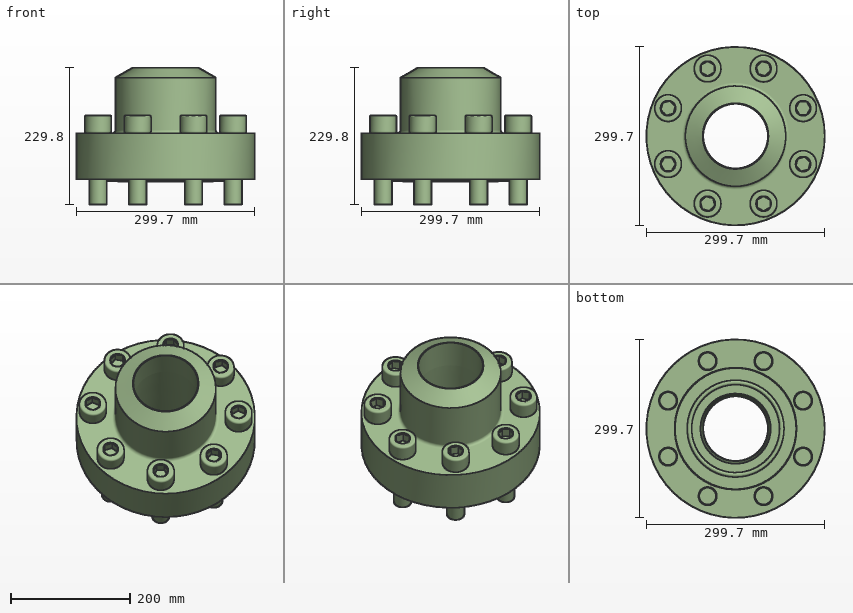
import cadquery as cq
import math

flange_diameter = 299.7
flange_thickness = 77.5
raised_face_diameter = 205.0
raised_face_height = 2.7
raised_face_chamfer = 1.0

neck_diameter = 168.5
neck_top_z = 187.5
bevel_inner_diameter = 110.5
bevel_angle = 30.0
neck_fillet = 5.5

bore_diameter = 108.2
bore_mouth_diameter = 118.0
bore_taper_start_z = 134.5

groove_inner_diameter = 147.5
groove_outer_diameter = 162.7
seal_protrusion = 1.2

screw_count = 8
bolt_circle_diameter = 245.2
shank_diameter = 30.0
screw_hole_diameter = 31.0
screw_tip_z = -42.3
screw_tip_chamfer = 1.0
head_diameter = 45.0
head_height = 30.0
head_edge_fillet = 3.0

socket_across_flats = 22.0
socket_depth = 18.0
socket_lead_in_diameter = 25.5

screw_pitch_angle = 360.0 / screw_count
sealing_face_z = -raised_face_height
seal_section_diameter = (groove_outer_diameter - groove_inner_diameter) / 2
seal_centre_radius = (groove_outer_diameter + groove_inner_diameter) / 4
groove_depth = seal_section_diameter - seal_protrusion


def make_body_blank():
    """Flange disc, raised face and beveled neck turned as one solid."""
    neck_radius = neck_diameter / 2
    bevel_inner_radius = bevel_inner_diameter / 2
    bevel_drop = (neck_radius - bevel_inner_radius) * math.tan(math.radians(bevel_angle))
    fillet_start = (neck_radius + neck_fillet, flange_thickness)
    fillet_end = (neck_radius, flange_thickness + neck_fillet)
    return (
        cq.Workplane("XZ")
        .moveTo(0, sealing_face_z)
        .lineTo(raised_face_diameter / 2 - raised_face_chamfer, sealing_face_z)
        .lineTo(raised_face_diameter / 2, sealing_face_z + raised_face_chamfer)
        .lineTo(raised_face_diameter / 2, 0)
        .lineTo(flange_diameter / 2, 0)
        .lineTo(flange_diameter / 2, flange_thickness)
        .lineTo(*fillet_start)
        .radiusArc(fillet_end, neck_fillet)
        .lineTo(neck_radius, neck_top_z - bevel_drop)
        .lineTo(bevel_inner_radius, neck_top_z)
        .lineTo(0, neck_top_z)
        .close()
        .revolve(360, (0, 0, 0), (0, 1, 0))
    )


def make_bore():
    return (
        cq.Workplane("XZ")
        .moveTo(0, sealing_face_z)
        .lineTo(bore_mouth_diameter / 2, sealing_face_z)
        .lineTo(bore_diameter / 2, bore_taper_start_z)
        .lineTo(bore_diameter / 2, neck_top_z)
        .lineTo(0, neck_top_z)
        .close()
        .revolve(360, (0, 0, 0), (0, 1, 0))
    )


def make_seal_groove():
    return (
        cq.Workplane("XY", origin=(0, 0, sealing_face_z))
        .circle(groove_outer_diameter / 2)
        .circle(groove_inner_diameter / 2)
        .extrude(groove_depth)
    )


def make_screw_holes():
    return (
        cq.Workplane("XY")
        .polarArray(bolt_circle_diameter / 2, screw_pitch_angle / 2, 360, screw_count)
        .circle(screw_hole_diameter / 2)
        .extrude(flange_thickness)
    )


def make_flange():
    return make_body_blank().cut(make_bore()).cut(make_seal_groove()).cut(make_screw_holes())


def make_seal_ring():
    seal_centre_z = sealing_face_z + groove_depth - seal_section_diameter / 2
    return (
        cq.Workplane("XZ")
        .center(seal_centre_radius, seal_centre_z)
        .circle(seal_section_diameter / 2)
        .revolve(360, (-seal_centre_radius, 0, 0), (-seal_centre_radius, 1, 0))
    )


def make_socket(head_top_z):
    """Hexagonal recess and its conical lead-in, corners pointing along X."""
    corner_diameter = socket_across_flats / math.cos(math.radians(30))
    hexagon = (
        cq.Workplane("XY", origin=(0, 0, head_top_z))
        .polygon(6, corner_diameter)
        .extrude(-socket_depth)
    )
    lead_in_radius = socket_lead_in_diameter / 2
    lead_in = cq.Workplane(
        cq.Solid.makeCone(0, lead_in_radius, lead_in_radius, pnt=(0, 0, head_top_z - lead_in_radius))
    )
    return hexagon.union(lead_in)


def make_screw(angle):
    """One socket head screw, turned about the flange axis to the given angle."""
    head_top_z = flange_thickness + head_height
    head = (
        cq.Workplane("XY", origin=(0, 0, flange_thickness))
        .circle(head_diameter / 2)
        .extrude(head_height)
        .edges()
        .fillet(head_edge_fillet)
    )
    shank = (
        cq.Workplane("XY", origin=(0, 0, screw_tip_z))
        .circle(shank_diameter / 2)
        .extrude(flange_thickness - screw_tip_z)
        .faces("<Z")
        .chamfer(screw_tip_chamfer)
    )
    screw = head.union(shank).cut(make_socket(head_top_z))

    first_angle = math.radians(screw_pitch_angle / 2)
    radius = bolt_circle_diameter / 2
    screw = screw.translate((radius * math.cos(first_angle), radius * math.sin(first_angle), 0))
    return screw.rotate((0, 0, 0), (0, 0, 1), angle)


flange = make_flange()
seal_ring = make_seal_ring()
screws = [make_screw(index * screw_pitch_angle) for index in range(screw_count)]

result = cq.Compound.makeCompound(
    [flange.solids().val(), seal_ring.val(), *[screw.solids().val() for screw in screws]]
)